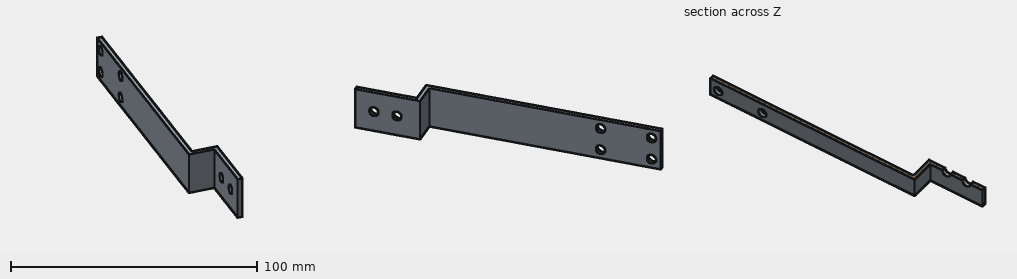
import cadquery as cq

length = 128.0
depth = 13.0
height = 18.0
thickness = 2.0

front_leg_length = 102.0

hole_diameter = 4.0
end_margin = 4.0
front_hole_spacing_x = 22.0
front_hole_spacing_z = 10.0
rear_hole_x = 110.0
rear_hole_spacing = 10.0


def bent_strip():
    """Z-shaped strip: front leg, step toward +Y, then rear leg."""
    step_start = front_leg_length - thickness
    outline = [
        (0, 0),
        (front_leg_length, 0),
        (front_leg_length, depth - thickness),
        (length, depth - thickness),
        (length, depth),
        (step_start, depth),
        (step_start, thickness),
        (0, thickness),
    ]
    return cq.Workplane("XY").polyline(outline).close().extrude(height)


def hole_cutters(centers):
    """Cylinders along Y, long enough to pass through either leg."""
    return (
        cq.Workplane("XZ")
        .pushPoints(centers)
        .circle(hole_diameter / 2)
        .extrude(-depth)
    )


middle_z = height / 2

front_holes = [
    (x, middle_z + side * front_hole_spacing_z / 2)
    for x in (end_margin, end_margin + front_hole_spacing_x)
    for side in (-1, 1)
]
rear_holes = [(rear_hole_x + i * rear_hole_spacing, middle_z) for i in range(2)]

result = bent_strip().cut(hole_cutters(front_holes + rear_holes))